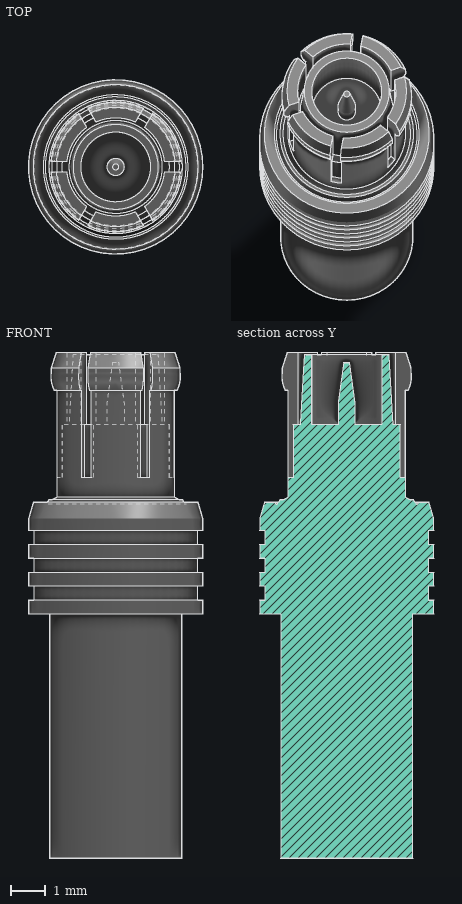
import cadquery as cq

total_height = 14.5

tail_radius = 1.9
collar_radius = 5.0 / 2
collar_groove_radius = 2.35
collar_bottom = 7.0
collar_band = 0.8 / 2
collar_groove_count = 3
collar_taper_bottom = 9.73
collar_top = 10.21
collar_top_radius = 2.36

rim_inner_radius = 2.07
rim_groove_depth = 0.06
ring_outer_radius = 1.91
ring_inner_radius = 1.83
ring_height = 10.28
cone_top = 10.35

barrel_radius = 3.38 / 2
bead_radius = 1.85
bead_tip_radius = 1.71
bead_band_top = 14.05
bead_band_bottom = 13.92
bead_bottom = 13.41
bead_bottom_radius = 1.77
bead_arc_radius = 0.87

slot_count = 6
slot_width = 0.3
slot_bottom = 10.92
slot_floor_radius = 1.54

finger_bore_radius = 1.4
gap_floor = 12.44
tube_base_radius = 1.33
tube_tip_radius = 1.22
tube_bore_radius = 1.0
tube_top = 14.44

pin_radius = 0.25
pin_tip_radius = 0.09
pin_taper_bottom = 13.05
pin_top = 14.21


def cylinder(radius, bottom, top):
    return cq.Workplane("XY").workplane(offset=bottom).circle(radius).extrude(top - bottom)


def make_tube(outer_radius, inner_radius, bottom, top):
    return cylinder(outer_radius, bottom, top).cut(cylinder(inner_radius, bottom, top))


def revolve_profile(profile):
    return profile.close().revolve(360, (0, 0, 0), (0, 1, 0))


def make_collar():
    groove_center_radius = rim_inner_radius - rim_groove_depth
    collar = revolve_profile(
        cq.Workplane("XZ")
        .moveTo(0, collar_bottom)
        .lineTo(collar_radius, collar_bottom)
        .lineTo(collar_radius, collar_taper_bottom)
        .lineTo(collar_top_radius, collar_top)
        .lineTo(rim_inner_radius, collar_top)
        .lineTo(groove_center_radius, collar_top - rim_groove_depth)
        .lineTo(ring_outer_radius, ring_height)
        .lineTo(ring_inner_radius, ring_height)
        .lineTo(barrel_radius, cone_top)
        .lineTo(0, cone_top)
    )
    for i in range(collar_groove_count):
        bottom = collar_bottom + (2 * i + 1) * collar_band
        groove = make_tube(collar_radius, collar_groove_radius, bottom, bottom + collar_band)
        collar = collar.cut(groove)
    return collar


def make_barrel():
    return revolve_profile(
        cq.Workplane("XZ")
        .moveTo(0, collar_top)
        .lineTo(barrel_radius, collar_top)
        .lineTo(barrel_radius, bead_bottom)
        .lineTo(bead_bottom_radius, bead_bottom)
        .radiusArc((bead_radius, bead_band_bottom), -bead_arc_radius)
        .lineTo(bead_radius, bead_band_top)
        .lineTo(bead_tip_radius, total_height)
        .lineTo(0, total_height)
    )


def make_slot_cutter(inner_radius, bottom):
    """Radial slots that reach from the inner radius out through the bead."""
    slot = (
        cq.Workplane("XY")
        .box(collar_radius, slot_width, total_height - bottom, centered=(False, True, False))
        .translate((0, 0, bottom))
    )
    slots = slot
    for i in range(1, slot_count):
        slots = slots.union(slot.rotate((0, 0, 0), (0, 0, 1), i * 360 / slot_count))
    return slots.cut(cylinder(inner_radius, bottom, total_height))


def make_insulator():
    return revolve_profile(
        cq.Workplane("XZ")
        .moveTo(tube_bore_radius, gap_floor)
        .lineTo(tube_base_radius, gap_floor)
        .lineTo(tube_tip_radius, tube_top)
        .lineTo(tube_bore_radius, tube_top)
    )


def make_pin():
    return revolve_profile(
        cq.Workplane("XZ")
        .moveTo(0, gap_floor)
        .lineTo(pin_radius, gap_floor)
        .lineTo(pin_radius, pin_taper_bottom)
        .lineTo(pin_tip_radius, pin_top)
        .lineTo(0, pin_top)
    )


result = cylinder(tail_radius, 0, collar_bottom).union(make_collar()).union(make_barrel())

result = result.cut(cylinder(finger_bore_radius, gap_floor, total_height))
result = result.cut(make_slot_cutter(slot_floor_radius, slot_bottom))
result = result.cut(make_slot_cutter(finger_bore_radius, gap_floor))

result = result.union(make_insulator()).union(make_pin())